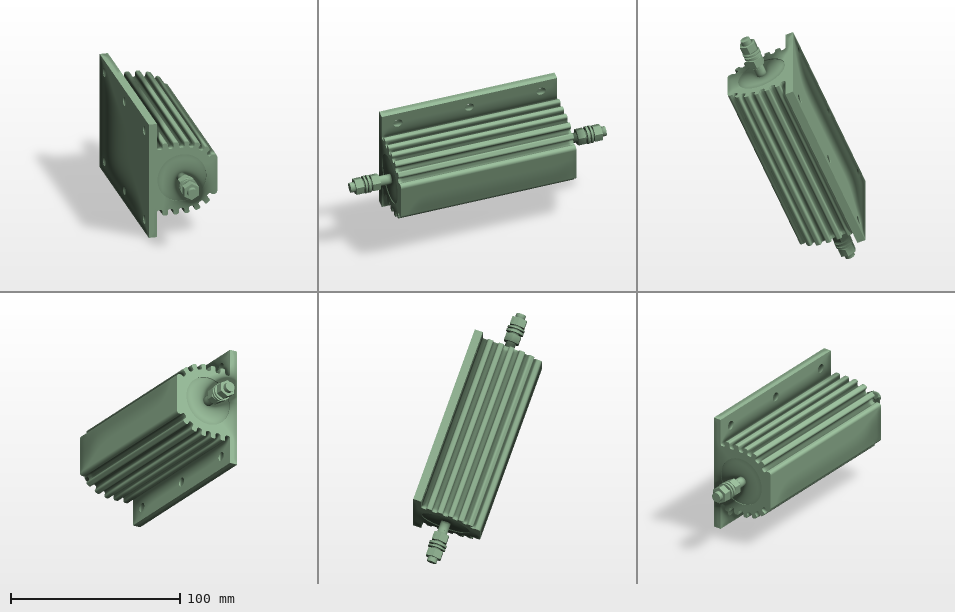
import math
import cadquery as cq

overall_length = 158.9
body_length = 109.0
body_depth = 42.0

plate_height = 73.0
plate_thickness = 5.0
hole_diameter = 5.5
hole_pitch_x = 44.5
hole_pitch_z = 57.4
hole_columns = 3
hole_rows = 2

fin_tip_radius = 23.2
fin_height = 3.8
crown_centre_y = 21.4
groove_width = 3.35
groove_corner = 1.2
groove_pitch = 6.7
straight_grooves = 3
crown_groove_angles = (13.5, 31.5, 49.5)
fin_tip_fillet = 1.0
back_ridge_height = 12.75
back_fillet = 1.8

core_diameter = 30.0
core_recess = 0.5
core_axis_y = 20.3

shank_diameter = 6.1
stud_diameter = 6.0
stud_length = 20.0
nut_across_flats = 9.0
nut_thickness = 4.8
nut_stations = (2.9, 13.2)
washer_diameter = 10.6
washer_stations = ((8.7, 1.0), (10.7, 1.4))

position_tolerance = 0.01

groove_floor_height = fin_tip_radius - fin_height
first_groove_y = plate_thickness + groove_width / 2


def extrude_along_x(profile):
    """Extrude a YZ profile over the body length, centred on X = 0."""
    return profile.extrude(body_length / 2, both=True)


def make_plate():
    plate = cq.Workplane("XY").box(body_length, plate_thickness, plate_height, centered=(True, False, True))
    holes = (
        cq.Workplane("XZ")
        .rarray(hole_pitch_x, hole_pitch_z, hole_columns, hole_rows)
        .circle(hole_diameter / 2)
        .extrude(-plate_thickness)
    )
    return plate.cut(holes)


def crown_point(radius, angle):
    """(Y, Z) point at a radius from the crown axis, with the angle in degrees from +Z towards +Y."""
    turn = math.radians(angle)
    return crown_centre_y + radius * math.sin(turn), radius * math.cos(turn)


def make_envelope():
    """Housing outline before grooving: flank, crown arc, then a step down to the ridge along the flat back.

    The step runs along the centre line of the last groove, which removes it.
    """
    last_angle = crown_groove_angles[-1]
    ridge_radius = back_ridge_height / math.cos(math.radians(last_angle))
    upper_half = (
        cq.Workplane("YZ")
        .moveTo(0, 0)
        .lineTo(0, fin_tip_radius)
        .lineTo(crown_centre_y, fin_tip_radius)
        .threePointArc(crown_point(fin_tip_radius, last_angle / 2), crown_point(fin_tip_radius, last_angle))
        .lineTo(*crown_point(ridge_radius, last_angle))
        .lineTo(body_depth, back_ridge_height)
        .lineTo(body_depth, 0)
        .close()
    )
    half = extrude_along_x(upper_half)
    return half.union(half.mirror("XY")).clean()


def make_groove(centre_y, angle):
    """Round-cornered groove, open at the top, turned about the crown axis."""
    depth = 2 * fin_height
    groove = extrude_along_x(
        cq.Workplane("YZ").center(centre_y, groove_floor_height + depth / 2).rect(groove_width, depth)
    )
    groove = groove.faces("<Z").edges("|X").fillet(groove_corner)
    return groove.rotate((0, crown_centre_y, 0), (1, crown_centre_y, 0), -angle)


def is_fin_tip(edge):
    """True for an edge where a groove wall meets the outer surface of a fin or of the back ridge."""
    centre = edge.Center()
    if centre.y < plate_thickness + position_tolerance:
        return False
    if abs(centre.y - crown_centre_y) < position_tolerance:
        return False
    reach = math.hypot(max(centre.y - crown_centre_y, 0), centre.z)
    on_fin = abs(reach - fin_tip_radius) < position_tolerance
    on_ridge = abs(abs(centre.z) - back_ridge_height) < position_tolerance
    return on_fin or (on_ridge and centre.y < body_depth - back_fillet - position_tolerance)


def make_housing():
    housing = make_envelope()
    grooves = [make_groove(first_groove_y + i * groove_pitch, 0) for i in range(straight_grooves)]
    grooves += [make_groove(crown_centre_y, angle) for angle in crown_groove_angles]
    for groove in grooves:
        housing = housing.cut(groove).cut(groove.mirror("XY"))
    housing = housing.faces(">Y").edges("|X").fillet(back_fillet)
    tips = [edge for edge in housing.edges("|X").vals() if is_fin_tip(edge)]
    return housing.newObject(tips).fillet(fin_tip_fillet)


def x_cylinder(start, length, diameter):
    return cq.Workplane("YZ", origin=(start, core_axis_y, 0)).circle(diameter / 2).extrude(length)


def make_terminal():
    """Terminal on the -X end, reaching in to the floor of the core recess."""
    tip_x = -overall_length / 2
    terminal = x_cylinder(tip_x, stud_length, stud_diameter)
    shank_length = (overall_length - body_length) / 2 + core_recess - stud_length
    terminal = terminal.union(x_cylinder(tip_x + stud_length, shank_length, shank_diameter))
    nut_across_corners = nut_across_flats / math.cos(math.pi / 6)
    for station in nut_stations:
        nut = (
            cq.Workplane("YZ", origin=(tip_x + station, core_axis_y, 0))
            .transformed(rotate=(0, 0, 90))
            .polygon(6, nut_across_corners)
            .extrude(nut_thickness)
        )
        terminal = terminal.union(nut)
    for station, thickness in washer_stations:
        terminal = terminal.union(x_cylinder(tip_x + station, thickness, washer_diameter))
    return terminal


body = make_plate().union(make_housing())
core_pocket = x_cylinder(-body_length / 2, core_recess, core_diameter)
terminal = make_terminal()
body = body.cut(core_pocket).cut(core_pocket.mirror("YZ"))
result = body.union(terminal).union(terminal.mirror("YZ"))